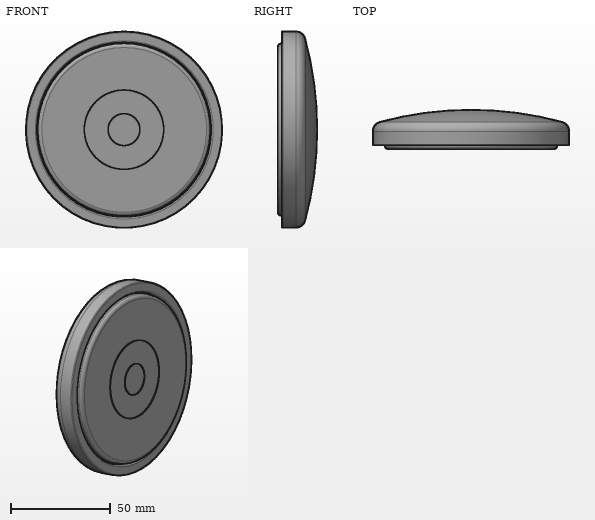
import cadquery as cq
import math

outer_radius = 49.5
total_depth = 20.0

rim_front = 2.1
rim_fillet = 0.5
wall_end = 9.1
shoulder_radius = 4.95
opening_radius = 44.0
mouth_fillet = 0.9
recess_depth = 2.0

base_radius = 43.5
base_fillet = 2.0
groove_outer_radius = 20.0
groove_inner_radius = 8.0
groove_depth = 0.3

shoulder_center = outer_radius - shoulder_radius
dome_rise = total_depth - wall_end
dome_radius = (shoulder_center**2 + dome_rise**2 - shoulder_radius**2) / (2 * (dome_rise - shoulder_radius))
dome_center = total_depth - dome_radius
edge_angle = math.asin(shoulder_center / (dome_radius - shoulder_radius))
recess_floor = rim_front + recess_depth


def dome_point(angle):
    """Depth and radius of a dome profile point at an angle from the axis."""
    return (dome_center + dome_radius * math.cos(angle), dome_radius * math.sin(angle))


def shoulder_point(angle):
    """Depth and radius of a shoulder round point at an angle from the axis."""
    return (
        wall_end + shoulder_radius * math.cos(angle),
        shoulder_center + shoulder_radius * math.sin(angle),
    )


def revolve_profile(profile):
    """Close a (depth, radius) profile and revolve it about the Y axis."""
    return profile.close().revolve(360, (0, 0, 0), (1, 0, 0))


def make_housing():
    """Domed cover with a round recess in its front."""
    shoulder_middle = (edge_angle + math.pi / 2) / 2
    profile = (
        cq.Workplane("YZ")
        .moveTo(recess_floor, 0)
        .lineTo(recess_floor, opening_radius)
        .lineTo(rim_front + mouth_fillet, opening_radius)
        .radiusArc((rim_front, opening_radius + mouth_fillet), mouth_fillet)
        .lineTo(rim_front, outer_radius - rim_fillet)
        .radiusArc((rim_front + rim_fillet, outer_radius), rim_fillet)
        .lineTo(wall_end, outer_radius)
        .threePointArc(shoulder_point(shoulder_middle), shoulder_point(edge_angle))
        .threePointArc(dome_point(edge_angle / 2), (total_depth, 0))
    )
    return revolve_profile(profile)


def make_base():
    """Disc seated on the recess floor, with a shallow ring groove in its face."""
    profile = (
        cq.Workplane("YZ")
        .lineTo(0, groove_inner_radius)
        .lineTo(groove_depth, groove_inner_radius)
        .lineTo(groove_depth, groove_outer_radius)
        .lineTo(0, groove_outer_radius)
        .lineTo(0, base_radius - base_fillet)
        .radiusArc((base_fillet, base_radius), base_fillet)
        .lineTo(recess_floor, base_radius)
        .lineTo(recess_floor, 0)
    )
    return revolve_profile(profile)


housing = make_housing()
base = make_base()
result = cq.Compound.makeCompound([housing.val(), base.val()])